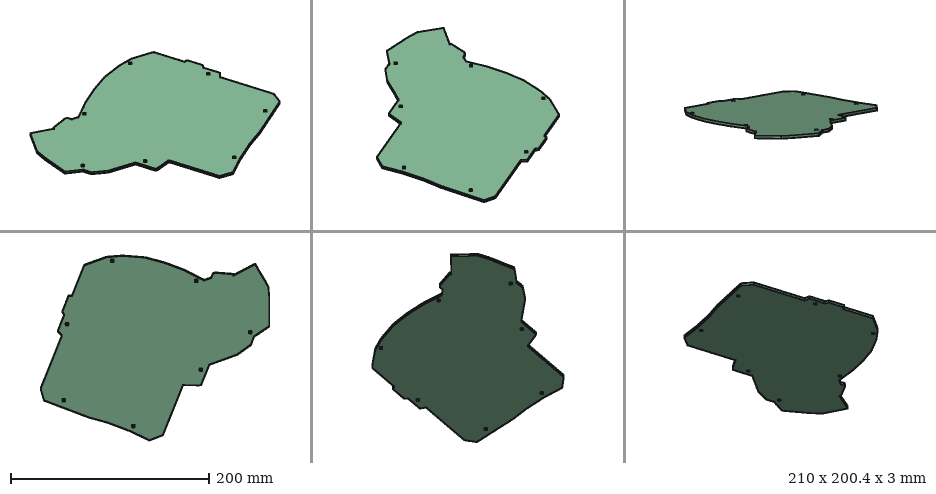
import cadquery as cq

length = 210.0
width = 200.4
thickness = 3.0
hole_diameter = 3.0

upper_edge = 197.2
shoulder_edge = 191.5
lower_edge = 58.8
step_edge = 41.8
notch_edge = 10.3
ledge_edge = 73.0
corner_setback = 10.0
waist_depth = 1.9

top_side = [
    (63.9, upper_edge),
    (98.3, upper_edge),
    (99.3, width),
    (117.2, width),
    (119.5, upper_edge),
    (137.8, upper_edge),
    (140.5, shoulder_edge),
    (length - corner_setback, shoulder_edge),
]
right_side = [
    (length, 183.8),
    (length, 135.5),
    (length - waist_depth, 115.5),
    (length - waist_depth, 91.4),
    (length, 69.5),
]
bottom_side = [
    (length - corner_setback, lower_edge),
    (143.9, lower_edge),
    (138.6, 44.5),
    (137.4, step_edge),
    (114.5, step_edge),
    (95.0, 20.0),
    (94.0, 19.1),
    (80.0, notch_edge),
    (71.8, notch_edge),
    (71.0, 10.7),
    (69.0, 9.2),
]
lower_left_lobe = [
    (55.2, 0),
    (28.4, 10.3),
    (17.2, 15.8),
    (0, 37.0),
    (19.1, 53.1),
    (17.9, 54.0),
    (23.0, 71.5),
    (24.8, ledge_edge),
    (29.5, ledge_edge),
]
left_side = [
    (34.5, 78.8),
    (32.3, 97.2),
    (32.0, 101.0),
    (32.0, 120.0),
    (32.1, 124.3),
    (34.0, 142.6),
    (35.0, 146.5),
    (40.1, 163.0),
    (41.2, 166.0),
    (47.7, 179.2),
    (57.3, 190.0),
]

hole_centers = [
    (127.5, 191.1),
    (49.1, 172.7),
    (202.5, 165.3),
    (202.0, 90.1),
    (37.8, 86.0),
    (122.5, 47.9),
    (67.8, 15.8),
]

outline = top_side + right_side + bottom_side + lower_left_lobe + left_side
plate = cq.Workplane("XY").polyline(outline).close().extrude(thickness)

holes = cq.Workplane("XY").pushPoints(hole_centers).circle(hole_diameter / 2).extrude(thickness)

result = plate.cut(holes)